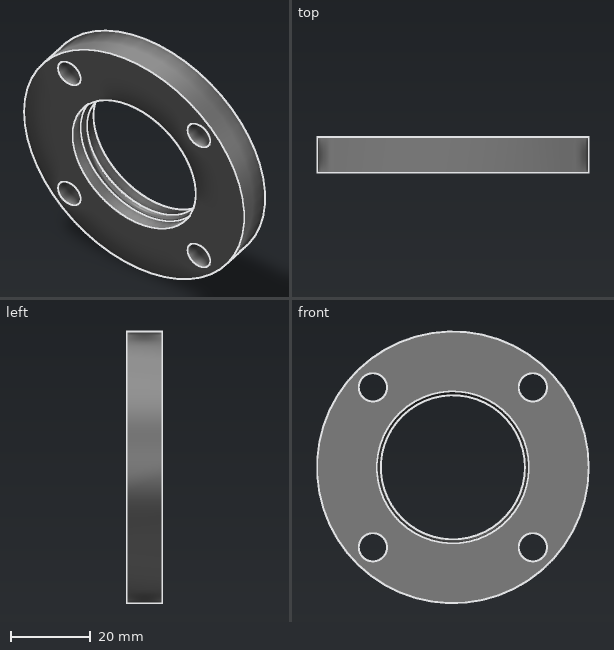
import cadquery as cq

outer_diameter = 68.0
thickness = 9.0
bore_diameter = 38.0
bead_radius = 1.0
hole_diameter = 7.0
hole_spacing = 40.0

bore_radius = bore_diameter / 2
outer_radius = outer_diameter / 2
half_thickness = thickness / 2


def ring_with_bead():
    """Revolve the ring section, with the bead centred in the bore wall."""
    section = (
        cq.Workplane("XY")
        .moveTo(bore_radius, -half_thickness)
        .lineTo(outer_radius, -half_thickness)
        .lineTo(outer_radius, half_thickness)
        .lineTo(bore_radius, half_thickness)
        .lineTo(bore_radius, bead_radius)
        .threePointArc((bore_radius - bead_radius, 0), (bore_radius, -bead_radius))
        .close()
    )
    return section.revolve(360, (0, 0, 0), (0, 1, 0))


def bolt_holes():
    """Four through holes on the corners of a square."""
    return (
        cq.Workplane("XZ")
        .rect(hole_spacing, hole_spacing, forConstruction=True)
        .vertices()
        .circle(hole_diameter / 2)
        .extrude(half_thickness, both=True)
    )


result = ring_with_bead().cut(bolt_holes())